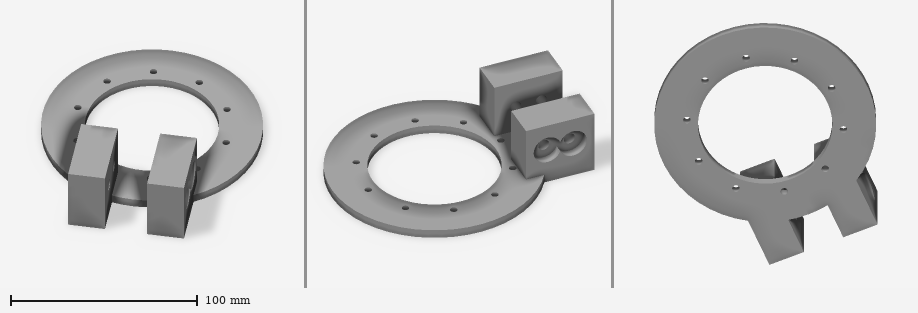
import cadquery as cq

ring_diameter = 119.0
bore_diameter = 72.0
ring_thickness = 5.0
ring_hole_count = 10
ring_hole_diameter = 4.0
ring_hole_circle_diameter = 84.0

block_direction = -45
block_start = 39.8
block_length = 40.0
block_width = 20.0
block_height = 37.0
block_gap = 23.0

screw_hole_diameter = 6.4
counterbore_diameter = 16.0
counterbore_depth = 5.0
screw_spacing = 14.9
screw_height = 21.0

block_middle = block_start + block_length / 2
block_inner_face = block_gap / 2
block_outer_face = block_inner_face + block_width


def make_ring():
    ring = cq.Workplane("XY").circle(ring_diameter / 2).circle(bore_diameter / 2).extrude(ring_thickness)
    holes = (
        cq.Workplane("XY")
        .polarArray(ring_hole_circle_diameter / 2, 0, 360, ring_hole_count)
        .circle(ring_hole_diameter / 2)
        .extrude(ring_thickness)
    )
    return ring.cut(holes)


def make_block():
    """Block lying along +X on the -Y side, with its outer face toward -Y."""
    block = (
        cq.Workplane("XY")
        .box(block_length, block_width, block_height, centered=(True, True, False))
        .translate((block_middle, -block_inner_face - block_width / 2, 0))
    )
    return (
        block.copyWorkplane(cq.Workplane("XZ", origin=(block_middle, -block_outer_face, screw_height)))
        .rarray(screw_spacing, 1.4, 2, 1)
        .cboreHole(screw_hole_diameter, counterbore_diameter, counterbore_depth)
    )


block = make_block()
blocks = block.union(block.mirror("XZ")).rotate((0, 0, 0), (0, 0, 1), block_direction)

result = make_ring().union(blocks)